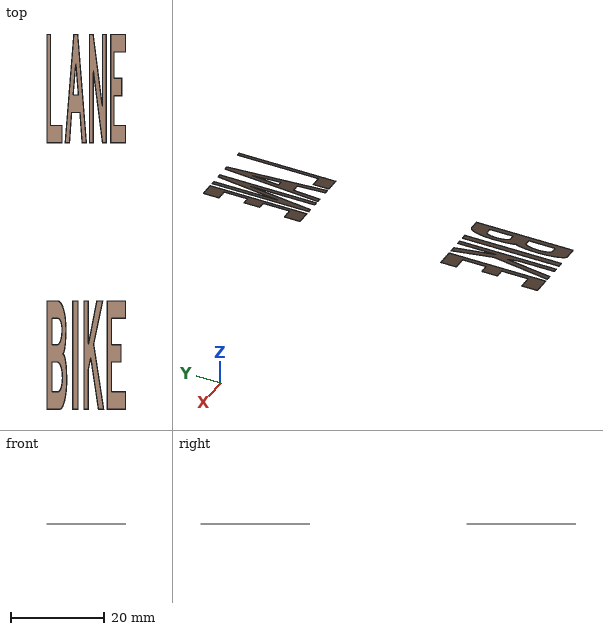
import cadquery as cq

word_width = 16.93
overall_length = 80.43
thickness = 0.05
letter_height = 23.28
bar_height = 3.78
middle_bar_base = 10.12
middle_bar_top = middle_bar_base + bar_height

left_edge = -word_width / 2
bike_base = -overall_length / 2
lane_base = overall_length / 2 - letter_height

a_start = 3.92
n_start = 9.11
lane_e_start = 13.68
i_start = 5.52
k_start = 7.95
bike_e_start = 12.95


def letter_plane(start, base):
    """Workplane whose origin is the lower left corner of a letter."""
    return cq.Workplane("XY").center(left_edge + start, base)


def letter_l(start, base):
    stem_width = 0.80
    foot_width = 3.27
    outline = [
        (0, 0),
        (foot_width, 0),
        (foot_width, bar_height),
        (stem_width, bar_height),
        (stem_width, letter_height),
        (0, letter_height),
    ]
    return letter_plane(start, base).polyline(outline).close().extrude(thickness)


def letter_e(start, base, stem_width, middle_reach):
    """E whose top and bottom bars run to the right edge of the word."""
    width = word_width - start
    top_bar_base = letter_height - bar_height
    outline = [
        (0, 0),
        (width, 0),
        (width, bar_height),
        (stem_width, bar_height),
        (stem_width, middle_bar_base),
        (middle_reach, middle_bar_base),
        (middle_reach, middle_bar_top),
        (stem_width, middle_bar_top),
        (stem_width, top_bar_base),
        (width, top_bar_base),
        (width, letter_height),
        (0, letter_height),
    ]
    return letter_plane(start, base).polyline(outline).close().extrude(thickness)


def letter_a(start, base):
    """A, symmetric about its centre line, with a triangular window above the crossbar."""
    half_width = 2.30
    half_top = 0.44
    leg_width = 0.97
    crossbar_base = 6.53
    half_arch_top = 0.87
    window_base = crossbar_base + bar_height
    half_window = 0.54
    window_tip = 16.9
    outline = [
        (-half_width, 0),
        (-half_width + leg_width, 0),
        (-half_arch_top, crossbar_base),
        (half_arch_top, crossbar_base),
        (half_width - leg_width, 0),
        (half_width, 0),
        (half_top, letter_height),
        (-half_top, letter_height),
    ]
    window = [
        (-half_window, window_base),
        (half_window, window_base),
        (0, window_tip),
    ]
    centre_plane = letter_plane(start + half_width, base)
    return centre_plane.polyline(outline).close().polyline(window).close().extrude(thickness)


def letter_n(start, base):
    """N with point symmetry about its centre."""
    width = 3.68
    stem_width = 0.86
    notch_depth = 15.4
    outline = [
        (0, 0),
        (stem_width, 0),
        (stem_width, notch_depth),
        (width - stem_width, 0),
        (width, 0),
        (width, letter_height),
        (width - stem_width, letter_height),
        (width - stem_width, letter_height - notch_depth),
        (stem_width, letter_height),
        (0, letter_height),
    ]
    return letter_plane(start, base).polyline(outline).close().extrude(thickness)


def letter_i(start, base):
    width = 1.20
    return letter_plane(start, base).rect(width, letter_height, centered=False).extrude(thickness)


def letter_k(start, base):
    stem_width = 0.97
    leg_inner = 3.11
    leg_outer = 4.28
    arm_inner = 2.77
    arm_outer = 4.07
    upper_notch = 14.00
    lower_notch = 8.50
    crotch = (1.47, 11.00)
    waist = (2.13, 14.00)
    outline = [
        (0, 0),
        (stem_width, 0),
        (stem_width, lower_notch),
        crotch,
        (leg_inner, 0),
        (leg_outer, 0),
        waist,
        (arm_outer, letter_height),
        (arm_inner, letter_height),
        (stem_width, upper_notch),
        (stem_width, letter_height),
        (0, letter_height),
    ]
    return letter_plane(start, base).polyline(outline).close().extrude(thickness)


QUARTER_HANDLE = 0.5523


def quarter_curve(sketch, start, end, starts_flat):
    """Add a quarter ellipse; it leaves horizontally if starts_flat, otherwise vertically."""
    run = (end[0] - start[0]) * QUARTER_HANDLE
    rise = (end[1] - start[1]) * QUARTER_HANDLE
    if starts_flat:
        handles = [(start[0] + run, start[1]), (end[0], end[1] - rise)]
    else:
        handles = [(start[0], start[1] + rise), (end[0] - run, end[1])]
    return sketch.bezier([start, *handles, end])


def bowl(sketch, bottom, bulge, top):
    """Add the rounded right side of a lobe, from its bottom through its bulge to its top."""
    sketch = quarter_curve(sketch, bottom, bulge, True)
    return quarter_curve(sketch, bulge, top, False)


def letter_b(start, base):
    stem_width = 1.12
    waist = (3.42, 11.90)
    upper_bulge = (4.15, 17.2)
    lower_bulge = (4.32, 6.6)
    upper_flat = 2.30
    lower_flat = 2.75

    outline = letter_plane(start, base).lineTo(lower_flat, 0)
    outline = bowl(outline, (lower_flat, 0), lower_bulge, waist)
    outline = bowl(outline, waist, upper_bulge, (upper_flat, letter_height))
    body = outline.lineTo(0, letter_height).close().extrude(thickness)

    windows = [
        (bar_height, middle_bar_base, 2.40, 2.25, (3.33, 6.8)),
        (middle_bar_top, letter_height - bar_height, 2.25, 2.40, (3.24, 17.0)),
    ]
    for bottom, top, bottom_flat, top_flat, bulge in windows:
        window = letter_plane(start, base).moveTo(stem_width, bottom).lineTo(bottom_flat, bottom)
        window = bowl(window, (bottom_flat, bottom), bulge, (top_flat, top))
        body = body.cut(window.lineTo(stem_width, top).close().extrude(thickness))
    return body


lane_letters = [
    letter_l(0, lane_base),
    letter_a(a_start, lane_base),
    letter_n(n_start, lane_base),
    letter_e(lane_e_start, lane_base, stem_width=0.78, middle_reach=2.42),
]
bike_letters = [
    letter_b(0, bike_base),
    letter_i(i_start, bike_base),
    letter_k(k_start, bike_base),
    letter_e(bike_e_start, bike_base, stem_width=0.97, middle_reach=3.00),
]
result = cq.Compound.makeCompound([letter.val() for letter in lane_letters + bike_letters])